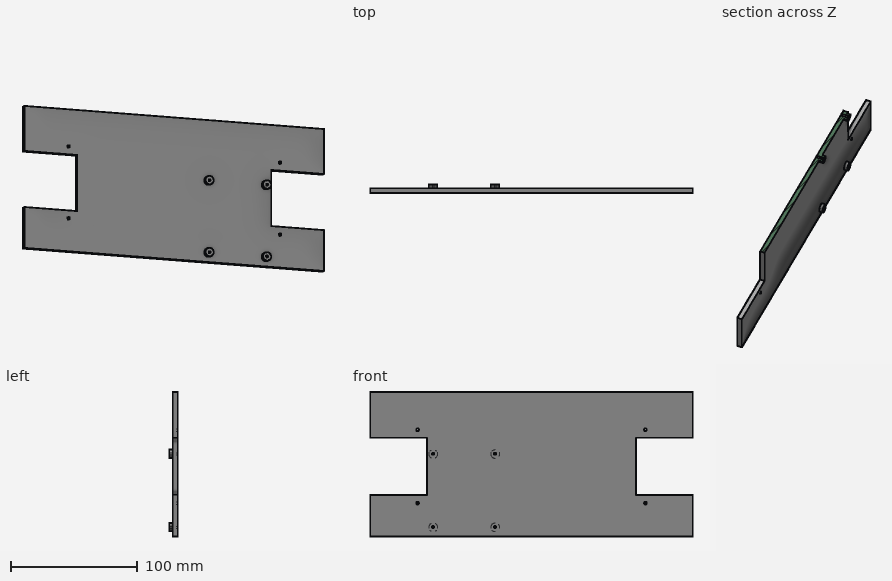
import cadquery as cq

plate_length = 255.0
plate_height = 114.2
plate_thickness = 4.0

notch_depth = 45.0
notch_height = 45.1
lower_arm_height = 33.0
notch_center_z = -plate_height / 2 + lower_arm_height + notch_height / 2

mount_hole_diameter = 2.0
mount_spacing_x = 180.0
mount_spacing_z = 58.0

standoff_diameter = 7.0
standoff_hole_diameter = 1.5
total_depth = 7.0
standoff_spacing_x = 49.0
standoff_spacing_z = 58.0
standoff_center_x = -53.3
standoff_center_z = -20.7


def corner_points(center_x, center_z, spacing_x, spacing_z):
    """Corners of a rectangle in the XZ plane."""
    return [
        (center_x + side_x * spacing_x / 2, center_z + side_z * spacing_z / 2)
        for side_x in (-1, 1)
        for side_z in (-1, 1)
    ]


def cylinders(points, diameter, depth):
    """Cylinders from the front face toward +Y."""
    return cq.Workplane("XZ").pushPoints(points).circle(diameter / 2).extrude(-depth)


def notched_plate():
    plate = cq.Workplane("XZ").rect(plate_length, plate_height).extrude(-plate_thickness)
    notches = (
        cq.Workplane("XZ")
        .pushPoints([(side * plate_length / 2, notch_center_z) for side in (-1, 1)])
        .rect(2 * notch_depth, notch_height)
        .extrude(-plate_thickness)
    )
    return plate.cut(notches)


mount_points = corner_points(0, notch_center_z, mount_spacing_x, mount_spacing_z)
standoff_points = corner_points(
    standoff_center_x, standoff_center_z, standoff_spacing_x, standoff_spacing_z
)

result = (
    notched_plate()
    .union(cylinders(standoff_points, standoff_diameter, total_depth))
    .cut(cylinders(standoff_points, standoff_hole_diameter, total_depth))
    .cut(cylinders(mount_points, mount_hole_diameter, plate_thickness))
)